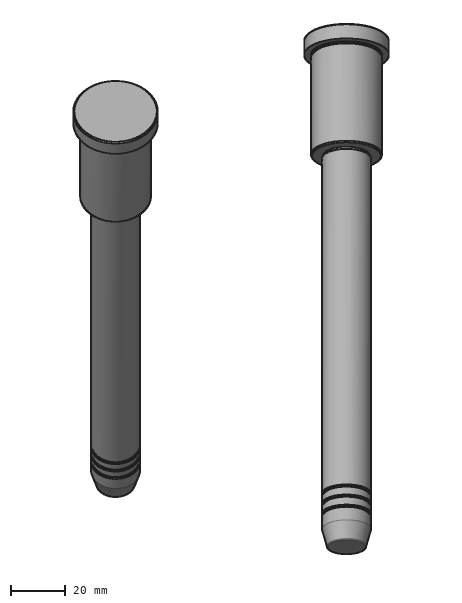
import cadquery as cq
import math

total_length = 201.0

head_diameter = 31.0
head_height = 6.0
head_chamfer = 0.5

shoulder_diameter = 26.0
shoulder_length = 40.0
shoulder_chamfer = 0.5

groove_width = 1.0
groove_floor_width = 0.4
groove_depth = 0.5

neck_diameter = 17.0
neck_length = 1.0

shaft_diameter = 18.0
groove_count = 3
groove_pitch = 4.0
lowest_groove_z = 12.5

tip_length = 7.0
tip_taper_angle = 15.0
tip_fillet = 0.5

head_bottom_z = total_length - head_height
shoulder_bottom_z = head_bottom_z - shoulder_length
shaft_top_z = shoulder_bottom_z - neck_length
tip_radius = shaft_diameter / 2 - tip_length * math.tan(math.radians(tip_taper_angle))


def cylinder(diameter, bottom_z, top_z):
    return cq.Workplane("XY").workplane(offset=bottom_z).circle(diameter / 2).extrude(top_z - bottom_z)


def groove_ring(diameter, center_z):
    """Ring of trapezoid section that cuts a groove into a cylinder of the given diameter."""
    outer_radius = diameter / 2
    floor_radius = outer_radius - groove_depth
    section = [
        (outer_radius, center_z - groove_width / 2),
        (floor_radius, center_z - groove_floor_width / 2),
        (floor_radius, center_z + groove_floor_width / 2),
        (outer_radius, center_z + groove_width / 2),
    ]
    return cq.Workplane("XZ").polyline(section).close().revolve(360, (0, 0, 0), (0, 1, 0))


def make_head():
    head = cylinder(head_diameter, head_bottom_z, total_length)
    return head.faces(">Z").edges().chamfer(head_chamfer)


def make_shoulder():
    shoulder = cylinder(shoulder_diameter, shoulder_bottom_z, head_bottom_z)
    shoulder = shoulder.faces("<Z").edges().chamfer(shoulder_chamfer)
    return shoulder.cut(groove_ring(shoulder_diameter, head_bottom_z - groove_width / 2))


def make_neck():
    return cylinder(neck_diameter, shaft_top_z, shoulder_bottom_z)


def make_shaft():
    shaft = cylinder(shaft_diameter, tip_length, shaft_top_z)
    for index in range(groove_count):
        groove_z = lowest_groove_z + index * groove_pitch
        shaft = shaft.cut(groove_ring(shaft_diameter, groove_z))
    return shaft


def make_tip():
    tip = (
        cq.Workplane("XY")
        .circle(tip_radius)
        .workplane(offset=tip_length)
        .circle(shaft_diameter / 2)
        .loft(ruled=True)
    )
    return tip.faces("<Z").edges().fillet(tip_fillet)


result = make_head().union(make_shoulder()).union(make_neck()).union(make_shaft()).union(make_tip())